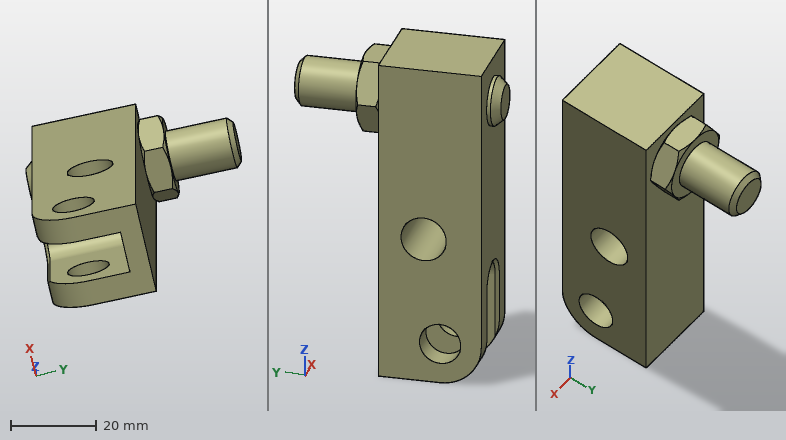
import cadquery as cq
import math

block_width = 22.0
block_height = 80.0
overall_depth = 50.0
block_depth = overall_depth / 2
toe_radius = 10.0

slot_width = 10.0
slot_arc_height = 22.0
slot_depth = 20.0
slot_chamfer = 0.8
slot_run_out = 1.6

pivot_diameter = 10.0
upper_hole_diameter = 11.0
upper_hole_setback = 14.0
upper_hole_height = 36.5

stud_diameter = 12.0
stud_height = block_height - block_width / 2
stud_rear_length = 22.0
stud_rear_end = block_depth + stud_rear_length
stud_front_end = stud_rear_end - overall_depth
stud_tip_chamfer = 1.3
head_chamfer_length = 2.1
head_chamfer_inset = 1.8

nut_across_flats = 18.0
nut_thickness = 6.0
nut_chamfer_angle = math.radians(30)


def make_block():
    block = cq.Workplane("XY").box(block_width, block_depth, block_height, centered=(True, False, False))
    return block.edges("|X and <Y and <Z").fillet(toe_radius)


def slot_prism(half_width, depth, taper=0):
    """Round-topped slot volume, running back from the front face."""
    return (
        cq.Workplane("XZ")
        .moveTo(-half_width, -slot_run_out)
        .lineTo(-half_width, slot_arc_height)
        .threePointArc((0, slot_arc_height + half_width), (half_width, slot_arc_height))
        .lineTo(half_width, -slot_run_out)
        .close()
        .extrude(-depth, taper=taper)
    )


def make_slot():
    """Slot with a 45 degree chamfer around its front mouth."""
    half_width = slot_width / 2
    mouth = slot_prism(half_width + slot_chamfer, slot_chamfer, taper=45)
    return slot_prism(half_width, slot_depth).union(mouth)


def cross_hole(diameter, setback, height):
    return (
        cq.Workplane("YZ", origin=(-block_width / 2, setback, height))
        .circle(diameter / 2)
        .extrude(block_width)
    )


def revolve_about_stud(profile):
    """Turn (radius, Y) points about the stud axis."""
    return (
        cq.Workplane("XY", origin=(0, 0, stud_height))
        .polyline(profile)
        .close()
        .revolve(360, (0, 0, 0), (0, 1, 0))
    )


def make_stud():
    radius = stud_diameter / 2
    return revolve_about_stud([
        (0, stud_front_end),
        (radius - head_chamfer_inset, stud_front_end),
        (radius, stud_front_end + head_chamfer_length),
        (radius, stud_rear_end - stud_tip_chamfer),
        (radius - stud_tip_chamfer, stud_rear_end),
        (0, stud_rear_end),
    ])


def make_nut():
    face_radius = nut_across_flats / 2
    corner_radius = face_radius / math.cos(math.pi / 6)
    corner_drop = (corner_radius - face_radius) * math.tan(nut_chamfer_angle)
    rear = block_depth + nut_thickness
    hexagon = (
        cq.Workplane("XZ", origin=(0, block_depth, stud_height))
        .polygon(6, 2 * corner_radius)
        .extrude(-nut_thickness)
    )
    envelope = revolve_about_stud([
        (0, block_depth),
        (face_radius, block_depth),
        (corner_radius, block_depth + corner_drop),
        (corner_radius, rear - corner_drop),
        (face_radius, rear),
        (0, rear),
    ])
    return hexagon.intersect(envelope)


result = (
    make_block()
    .cut(make_slot())
    .cut(cross_hole(pivot_diameter, toe_radius, toe_radius))
    .cut(cross_hole(upper_hole_diameter, upper_hole_setback, upper_hole_height))
    .union(make_stud())
    .union(make_nut())
)